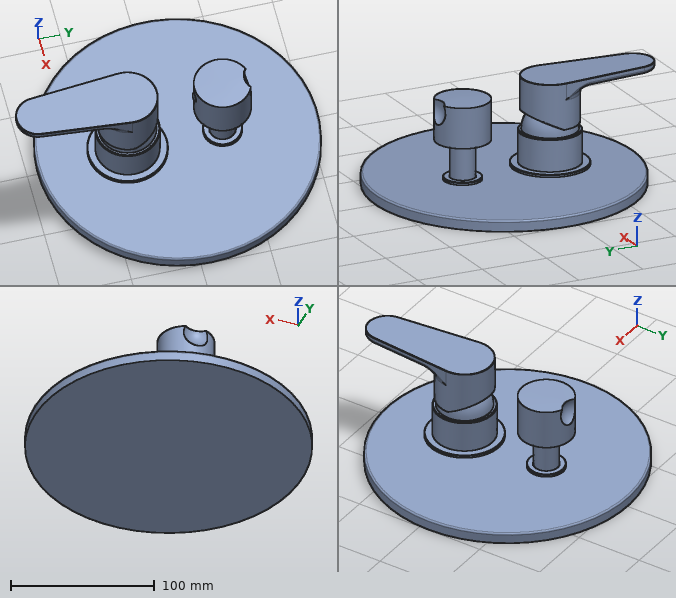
import cadquery as cq
import math

plate_radius = 99.98
plate_thickness = 8.5
plate_edge_radius = 1.3

rosette_height = 2.0
rosette_chamfer = 0.5
mixer_rosette_radius = 28.2
diverter_rosette_radius = 13.8

mixer_y = -35.7
sleeve_radius = 22.5
sleeve_top = 34.5
sleeve_chamfer = 0.6
ball_radius = 20.2

column_radius = 21.0
column_bottom = 40.0
lever_top = 74.3
lever_chamfer = 0.32
blade_thickness = 5.5
blade_bottom = lever_top - blade_thickness
blade_edge_radius = 2.8
blade_tip_y = -115.26
blade_tip_radius = 15.3
flare_radius = 6.7
lift_angle = 25.0
lever_button_z = 54.5

diverter_y = 32.3
stem_radius = 9.0
stem_clearance = 0.32
knob_radius = 20.0
knob_bottom = 37.7
knob_rim = 67.5
knob_crown = 0.5
knob_button_z = 57.5

scoop_radius = 12.5
scoop_offset = 26.7
scoop_z = 62.2

button_radius = 3.2
button_height = 1.3
button_sphere_radius = (button_radius**2 + button_height**2) / (2 * button_height)


def cylinder(y, bottom, radius, top):
    """Vertical cylinder whose axis crosses X = 0 at the given Y."""
    return cq.Workplane("XY", origin=(0, y, bottom)).circle(radius).extrude(top - bottom)


def sphere(y, z, radius):
    """Sphere centred in the plane X = 0."""
    return cq.Workplane("XY", origin=(0, y, z)).sphere(radius)


def button(axis_y, body_radius, z):
    """Domed button standing out of the -Y side of a round body."""
    dome_y = axis_y - body_radius - button_height + button_sphere_radius
    return sphere(dome_y, z, button_sphere_radius)


def rosette(y, radius):
    """Thin chamfered disc on top of the plate."""
    ring = cylinder(y, plate_thickness, radius, plate_thickness + rosette_height)
    return ring.faces(">Z").chamfer(rosette_chamfer)


def make_plate():
    """Plate with both rosettes, the diverter one open around the stem."""
    plate = cylinder(0, 0, plate_radius, plate_thickness).faces(">Z").fillet(plate_edge_radius)
    hole_radius = stem_radius + stem_clearance
    stem_hole = cylinder(diverter_y, plate_thickness, hole_radius, knob_bottom)
    diverter_rosette = rosette(diverter_y, diverter_rosette_radius).cut(stem_hole)
    return plate.union(rosette(mixer_y, mixer_rosette_radius)).union(diverter_rosette)


def make_sleeve():
    """Sleeve on the plate, with the ball half sunk into its top."""
    sleeve = cylinder(mixer_y, plate_thickness, sleeve_radius, sleeve_top)
    sleeve = sleeve.faces(">Z").chamfer(sleeve_chamfer)
    return sleeve.union(sphere(mixer_y, sleeve_top, ball_radius))


def lever_prism(bottom):
    """Column circle and tip circle joined by their common tangents, up to the lever top."""
    tip_center_y = blade_tip_y + blade_tip_radius
    taper = math.asin((column_radius - blade_tip_radius) / (mixer_y - tip_center_y))
    column_x = column_radius * math.cos(taper)
    column_tangent_y = mixer_y - column_radius * math.sin(taper)
    tip_x = blade_tip_radius * math.cos(taper)
    tip_tangent_y = tip_center_y - blade_tip_radius * math.sin(taper)
    return (
        cq.Workplane("XY", origin=(0, 0, bottom))
        .moveTo(column_x, column_tangent_y)
        .threePointArc((0, mixer_y + column_radius), (-column_x, column_tangent_y))
        .lineTo(-tip_x, tip_tangent_y)
        .threePointArc((0, blade_tip_y), (tip_x, tip_tangent_y))
        .close()
        .extrude(lever_top - bottom)
    )


def make_flare():
    """Concave blend from the column to the underside of the blade."""
    flare_bottom = blade_bottom - flare_radius
    flare_outer = column_radius + flare_radius
    arc_shift = flare_radius * math.sqrt(0.5)
    arc_middle = (flare_outer - arc_shift, flare_bottom + arc_shift)
    collar = (
        cq.Workplane("XZ", origin=(0, mixer_y, 0))
        .moveTo(0, flare_bottom)
        .lineTo(column_radius, flare_bottom)
        .threePointArc(arc_middle, (flare_outer, blade_bottom))
        .lineTo(0, blade_bottom)
        .close()
        .revolve(360, (0, 0, 0), (0, 1, 0))
    )
    return collar.intersect(lever_prism(flare_bottom))


def lift_relief():
    """Wedge under the +Y half of the column that lets the lever tilt."""
    length = 2 * column_radius
    rise = length * math.tan(math.radians(lift_angle))
    return (
        cq.Workplane("YZ", origin=(-length / 2, mixer_y, column_bottom))
        .polyline([(0, 0), (length, 0), (length, rise)])
        .close()
        .extrude(length)
    )


def make_lever():
    """Column, flare and blade in one piece, with its marker button."""
    column = cylinder(mixer_y, column_bottom, column_radius, lever_top)
    lever = lever_prism(blade_bottom).union(make_flare()).union(column)
    tip_edge = cq.selectors.NearestToPointSelector((0, blade_tip_y, blade_bottom))
    lever = lever.edges(tip_edge).fillet(blade_edge_radius)
    lever = lever.faces(">Z").chamfer(lever_chamfer)
    return lever.cut(lift_relief()).union(button(mixer_y, column_radius, lever_button_z))


def make_mixer_body():
    """First body: plate, sleeve with ball, and lever."""
    return make_plate().union(make_sleeve()).union(make_lever())


def make_diverter():
    """Second body: stem and slightly domed knob with finger scoop and marker button."""
    stem = cylinder(diverter_y, plate_thickness, stem_radius, knob_bottom)
    knob_top = knob_rim + knob_crown
    dome_radius = (knob_radius**2 + knob_crown**2) / (2 * knob_crown)
    dome = sphere(diverter_y, knob_top - dome_radius, dome_radius)
    knob = cylinder(diverter_y, knob_bottom, knob_radius, knob_top).intersect(dome)
    scoop = sphere(diverter_y + scoop_offset, scoop_z, scoop_radius)
    marker = button(diverter_y, knob_radius, knob_button_z)
    return stem.union(knob).cut(scoop).union(marker)


mixer_body = make_mixer_body()
diverter = make_diverter()

result = cq.Compound.makeCompound([mixer_body.solids().val(), diverter.solids().val()])